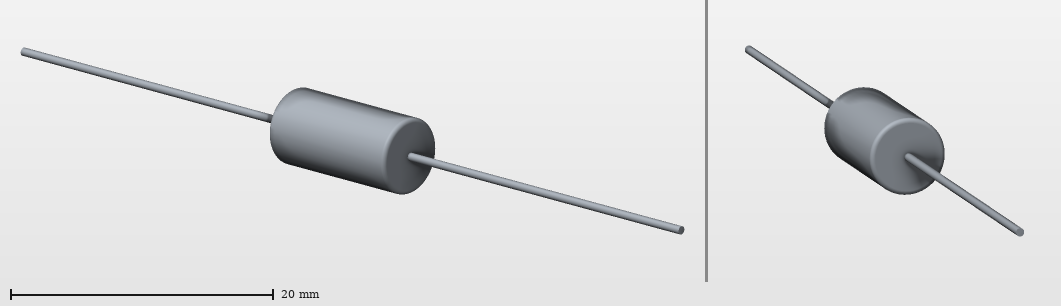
import cadquery as cq

overall_length = 68.0
body_length = 12.0
body_diameter = 6.0
body_edge_radius = 0.35
lead_diameter = 0.65


def cylinder_along_x(length, diameter):
    """Cylinder on the X axis, centred on the origin."""
    start_plane = cq.Workplane("YZ").workplane(offset=-length / 2)
    return start_plane.circle(diameter / 2).extrude(length)


body = cylinder_along_x(body_length, body_diameter)
body = body.edges("%CIRCLE").fillet(body_edge_radius)

leads = cylinder_along_x(overall_length, lead_diameter)

result = body.union(leads)